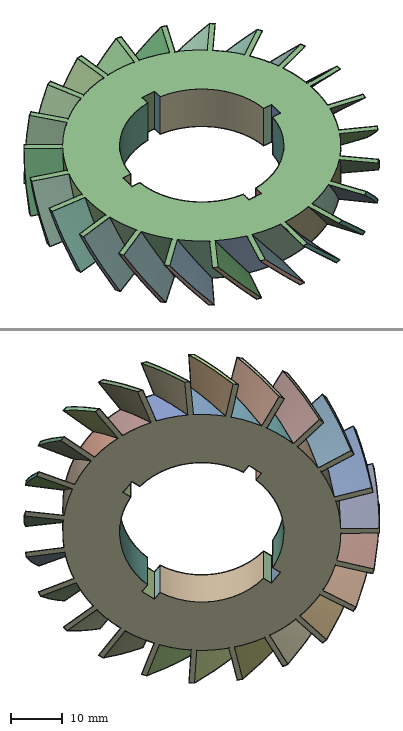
import cadquery as cq

width = 10.0
hub_radius = 26.95
bore_radius = 15.9

notch_count = 4
notch_reach = 17.7
notch_width = 2.95

blade_count = 23
blade_root = 19.1
blade_tip = 34.45
blade_thickness = 1.1
blade_twist = 14.4


def polar_copies(body, count):
    """Equally spaced copies of a body around the Z axis."""
    step = 360 / count
    return [body.rotate((0, 0, 0), (0, 0, 1), i * step) for i in range(count)]


def make_bore():
    """Solid of the central bore, with the notches opening out of it."""
    bore = cq.Workplane("XY").circle(bore_radius).extrude(width)
    notch = cq.Workplane("XY").box(notch_reach, notch_width, width, centered=(False, True, False))
    for copy in polar_copies(notch, notch_count):
        bore = bore.union(copy)
    return bore


def make_blade():
    """Blade that lies along +X at the top face and turns about the hub axis below it."""
    blade = (
        cq.Workplane("XY")
        .pushPoints([((blade_root + blade_tip) / 2, 0)])
        .rect(blade_tip - blade_root, blade_thickness)
        .twistExtrude(width, -blade_twist)
    )
    return blade.rotate((0, 0, 0), (0, 0, 1), blade_twist)


result = cq.Workplane("XY").circle(hub_radius).extrude(width)
for blade in polar_copies(make_blade(), blade_count):
    result = result.union(blade)
result = result.cut(make_bore())